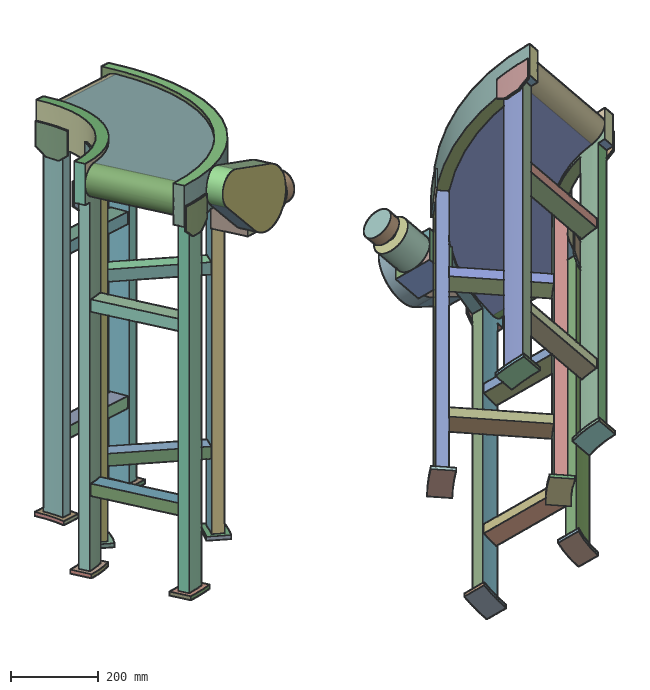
import cadquery as cq
import math

TOTAL_HEIGHT = 1000.0
INNER_RAIL_RADIUS = 300.0
OUTER_RAIL_RADIUS = 600.0
RAIL_WIDTH = 30.0
RAIL_HEIGHT = 100.0

ROLLER_DIAMETER = 80.0

LEG_WIDTH = 60.0
END_STATION_OFFSET = 50.0
FOOT_WIDTH = 90.0
FOOT_HEIGHT = 10.0
FOOT_MARGIN = 14.0
CROSSBAR_WIDTH = 50.0
CROSSBAR_HEIGHT = 30.0
CROSSBAR_BOTTOMS = (190.0, 635.0)

BRACKET_WIDTH = 98.0
BRACKET_TIP_WIDTH = 40.0
BRACKET_THICKNESS = 5.0
BRACKET_HEIGHT = 80.0
BRACKET_TAPER_HEIGHT = 20.0

COVER_OUTER_X = 635.0
COVER_THICKNESS = 50.0
COVER_SMALL_RADIUS = 46.0
COVER_SMALL_Y = 151.0
COVER_LARGE_RADIUS = 80.0
COVER_LARGE_Y = 287.0
COVER_LARGE_Z = 891.0
GEARBOX_SIZE = 100.0
GEARBOX_LENGTH = 82.0
DRIVE_AXIS_Z = 839.0
MOTOR_DIAMETER = 100.0
MOTOR_LENGTH = 78.0
SHAFT_DIAMETER = 30.0
SHAFT_LENGTH = 19.0
WHEEL_DIAMETER = 80.0
WHEEL_LENGTH = 30.0

RAIL_BOTTOM = TOTAL_HEIGHT - RAIL_HEIGHT
ROLLER_RADIUS = ROLLER_DIAMETER / 2
ROLLER_Z = TOTAL_HEIGHT - RAIL_HEIGHT / 2
BELT_INNER_RADIUS = INNER_RAIL_RADIUS + RAIL_WIDTH
BELT_OUTER_RADIUS = OUTER_RAIL_RADIUS - RAIL_WIDTH
BRACKET_TOP = TOTAL_HEIGHT - RAIL_HEIGHT / 2
COVER_INNER_X = COVER_OUTER_X - COVER_THICKNESS
COVER_SMALL_Z = TOTAL_HEIGHT - COVER_SMALL_RADIUS


def ring(inner_radius, outer_radius, bottom, height):
    """Full ring about the Z axis."""
    return (
        cq.Workplane("XY", origin=(0, 0, bottom))
        .circle(outer_radius)
        .circle(inner_radius)
        .extrude(height)
    )


def quarter_ring(inner_radius, outer_radius, bottom, height):
    """The part of a ring with positive X and Y."""
    quadrant = cq.Workplane("XY", origin=(0, 0, bottom)).rect(
        outer_radius, outer_radius, centered=False
    ).extrude(height)
    return ring(inner_radius, outer_radius, bottom, height).intersect(quadrant)


def arc_block(inner_radius, outer_radius, offset, width, bottom, height):
    """Slice of a ring near the +Y axis, with flat sides parallel to it."""
    slab = cq.Workplane("XY", origin=(offset, 0, bottom)).rect(
        width, outer_radius, centered=(True, False)
    ).extrude(height)
    return ring(inner_radius, outer_radius, bottom, height).intersect(slab)


def bracket(inner_radius, offset):
    """Thin curved plate with a tapered lower end."""
    half_width = BRACKET_WIDTH / 2
    half_tip = BRACKET_TIP_WIDTH / 2
    outer_radius = inner_radius + BRACKET_THICKNESS
    bottom = BRACKET_TOP - BRACKET_HEIGHT
    shoulder = bottom + BRACKET_TAPER_HEIGHT
    profile = (
        cq.Workplane("XZ")
        .polyline([
            (offset - half_width, BRACKET_TOP),
            (offset + half_width, BRACKET_TOP),
            (offset + half_width, shoulder),
            (offset + half_tip, bottom),
            (offset - half_tip, bottom),
            (offset - half_width, shoulder),
        ])
        .close()
        .extrude(-outer_radius)
    )
    return ring(inner_radius, outer_radius, bottom, BRACKET_HEIGHT).intersect(profile)


def leg(inner_radius, offset):
    """Curved leg under a rail, on its wider foot."""
    outer_radius = inner_radius + RAIL_WIDTH
    post = arc_block(inner_radius, outer_radius, offset, LEG_WIDTH, 0, RAIL_BOTTOM)
    foot = arc_block(
        inner_radius - FOOT_MARGIN, outer_radius + FOOT_MARGIN, offset, FOOT_WIDTH, 0, FOOT_HEIGHT
    )
    return post.union(foot)


def leg_station(offset, angle):
    """Pair of legs with brackets and crossbars, turned about Z by the angle."""
    station = leg(INNER_RAIL_RADIUS, offset).union(leg(BELT_OUTER_RADIUS, offset))
    station = station.union(bracket(INNER_RAIL_RADIUS - BRACKET_THICKNESS, offset))
    station = station.union(bracket(OUTER_RAIL_RADIUS, offset))
    for bottom in CROSSBAR_BOTTOMS:
        station = station.union(arc_block(
            BELT_INNER_RADIUS, BELT_OUTER_RADIUS, offset, CROSSBAR_WIDTH, bottom, CROSSBAR_HEIGHT
        ))
    return station.rotate((0, 0, 0), (0, 0, 1), angle)


def belt():
    """Flat quarter-ring belt whose two ends are rounded by the rollers."""
    bottom = ROLLER_Z - ROLLER_RADIUS
    flat = cq.Workplane("XY", origin=(ROLLER_RADIUS, ROLLER_RADIUS, bottom)).rect(
        BELT_OUTER_RADIUS, BELT_OUTER_RADIUS, centered=False
    ).extrude(ROLLER_DIAMETER)
    roller_along_y = cq.Workplane("XZ", origin=(ROLLER_RADIUS, 0, ROLLER_Z)).circle(
        ROLLER_RADIUS
    ).extrude(-BELT_OUTER_RADIUS)
    roller_along_x = cq.Workplane("YZ", origin=(0, ROLLER_RADIUS, ROLLER_Z)).circle(
        ROLLER_RADIUS
    ).extrude(BELT_OUTER_RADIUS)
    envelope = flat.union(roller_along_y).union(roller_along_x)
    return quarter_ring(
        BELT_INNER_RADIUS, BELT_OUTER_RADIUS, bottom, ROLLER_DIAMETER
    ).intersect(envelope)


def chain_cover():
    """Plate around two unequal wheels, joined by their outer tangents."""
    run_y = COVER_LARGE_Y - COVER_SMALL_Y
    run_z = COVER_LARGE_Z - COVER_SMALL_Z
    axis_angle = math.atan2(run_z, run_y)
    tangent_angle = math.acos((COVER_SMALL_RADIUS - COVER_LARGE_RADIUS) / math.hypot(run_y, run_z))

    def small_point(angle):
        return (COVER_SMALL_Y + COVER_SMALL_RADIUS * math.cos(angle),
                COVER_SMALL_Z + COVER_SMALL_RADIUS * math.sin(angle))

    def large_point(angle):
        return (COVER_LARGE_Y + COVER_LARGE_RADIUS * math.cos(angle),
                COVER_LARGE_Z + COVER_LARGE_RADIUS * math.sin(angle))

    upper = axis_angle + tangent_angle
    lower = axis_angle - tangent_angle
    return (
        cq.Workplane("YZ", origin=(COVER_INNER_X, 0, 0))
        .moveTo(*small_point(upper))
        .lineTo(*large_point(upper))
        .threePointArc(large_point(axis_angle), large_point(lower))
        .lineTo(*small_point(lower))
        .threePointArc(small_point(axis_angle + math.pi), small_point(upper))
        .close()
        .extrude(COVER_THICKNESS)
    )


def motor():
    """Gearbox against the cover, with motor, shaft and handwheel along +Y."""
    axis_x = COVER_INNER_X - GEARBOX_SIZE / 2
    end_y = COVER_LARGE_Y + COVER_LARGE_RADIUS
    body = cq.Workplane("XZ", origin=(axis_x, end_y, DRIVE_AXIS_Z)).rect(
        GEARBOX_SIZE, GEARBOX_SIZE
    ).extrude(GEARBOX_LENGTH)
    for diameter, length in (
        (MOTOR_DIAMETER, MOTOR_LENGTH),
        (SHAFT_DIAMETER, SHAFT_LENGTH),
        (WHEEL_DIAMETER, WHEEL_LENGTH),
    ):
        body = body.union(
            cq.Workplane("XZ", origin=(axis_x, end_y, DRIVE_AXIS_Z))
            .circle(diameter / 2)
            .extrude(-length)
        )
        end_y += length
    return body


inner_rail = quarter_ring(INNER_RAIL_RADIUS, BELT_INNER_RADIUS, RAIL_BOTTOM, RAIL_HEIGHT)
outer_rail = quarter_ring(BELT_OUTER_RADIUS, OUTER_RAIL_RADIUS, RAIL_BOTTOM, RAIL_HEIGHT)
result = belt().union(inner_rail).union(outer_rail)
for station_offset, station_angle in ((END_STATION_OFFSET, 0), (0, -45), (-END_STATION_OFFSET, -90)):
    result = result.union(leg_station(station_offset, station_angle))
result = result.union(chain_cover()).union(motor())